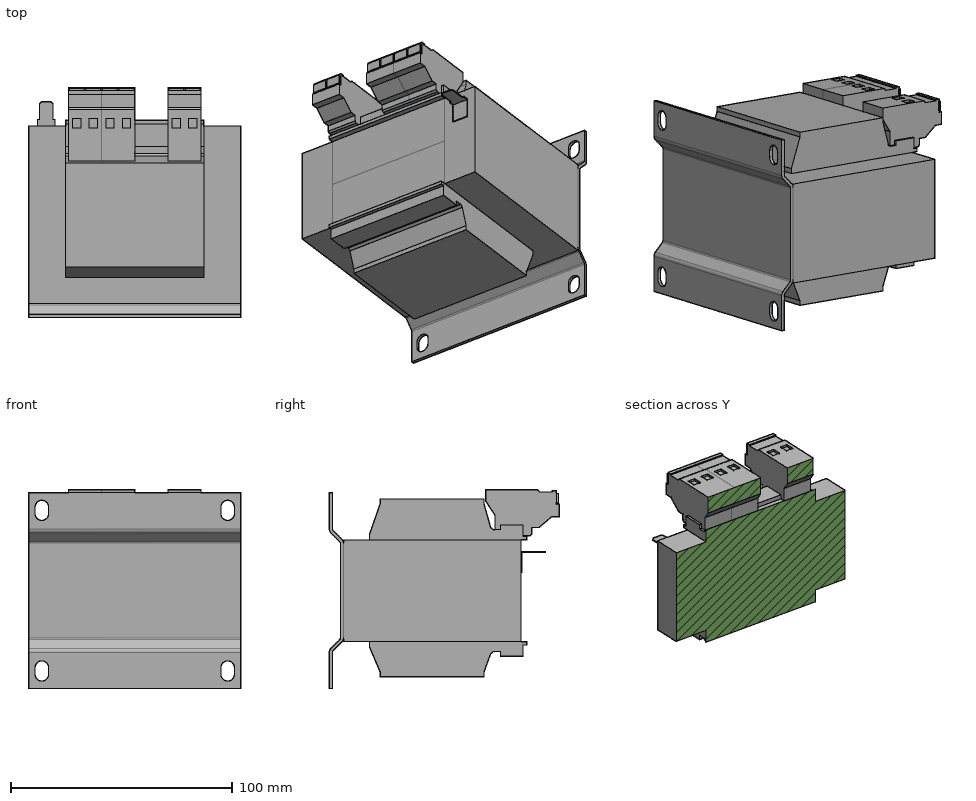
import cadquery as cq


CORE_WIDTH = 96.0
CORE_HEIGHT = 46.0
CORE_FRONT_Y = 6.5
CORE_BACK_Y = 86.7
CORE_TOP = CORE_HEIGHT / 2

SHEET = 1.5
BRACKET_HEIGHT = 88.6
BRACKET_STEP = CORE_FRONT_Y - SHEET
FLANGE_BEND_Z = 26.85
WEB_BEND_Z = FLANGE_BEND_Z - BRACKET_STEP
TAN_HALF_BEND = 2 ** 0.5 - 1
BEND_SHIFT = SHEET * TAN_HALF_BEND
INNER_BEND_RADIUS = 1.0
OUTER_BEND_RADIUS = INNER_BEND_RADIUS + SHEET
SLOT_WIDTH = 6.0
SLOT_LENGTH = 9.0
SLOT_EDGE_X = 6.0
SLOT_EDGE_Z = 8.0

BOBBIN_WIDTH = 62.4
COVER_TOP = 41.5
COVER_BOTTOM = 39.0
COVER_RIM = 2.2
COVER_FRONT_Y = 23.0
COVER_BACK_Y = 70.0
SKIRT_FRONT_Y = 18.1
SKIRT_TOP_Z = 25.3
GROOVE_Z = 27.6
GROOVE_FRONT_Y = 74.2
GROOVE_BACK_Y = 77.4
COVER_FOOT_Y = 73.0
COVER_FOOT_RISE = 1.0
FOOT_Z = 29.7
FOOT_BACK_Y = 87.6
LIP_BACK_Y = 89.3
LIP_Z = 24.6

BLOCK_WIDTH = 15.0
BLOCK_CENTRES_X = (-22.5, -7.5, 22.5)
BLOCK_TOP = 45.65
BLOCK_FRONT_Y = 70.75
BLOCK_FRONT_Z = 40.4
NECK_FRONT_Y = 74.9
NECK_FRONT_Z = 34.1
RECESS_Z = 44.7
RECESS_FRONT_Y = 95.0
RECESS_BACK_Y = 100.8
RECESS_RAMP = 0.8
BROW_Z = 45.25
WIRING_FACE_Y = 102.7
LEDGE_ROOT_Z = 39.0
LEDGE_CREST_Y = 103.5
LEDGE_CREST_Z = 39.5
LEDGE_EDGE_Z = 39.1
BLOCK_BACK_Y = 104.0
CHIN_Z = 33.3
CHIN_Y = 100.5
HEEL_Z = 28.5
HEEL_Y = 94.8
HOOK_Y = 91.6
HOOK_CHAMFER = 0.8
BLOCK_FOOT_Z = 24.8
PAD_WIDTH = 6.6
PAD_BACK_Y = 103.75
PAD_BOTTOM = 39.8
PAD_TOP = 44.0
WIRE_PITCH = BLOCK_WIDTH / 2
POCKET_WIDTH = 3.7
POCKET_LENGTH = 4.4
POCKET_Y = 87.9
POCKET_DEPTH = 1.0

EARTH_X = -40.0
EARTH_SHEET = 0.5
EARTH_WIDTH = 8.0
EARTH_TOP = 17.7
EARTH_BOTTOM = 8.3
EARTH_SHOULDER_Y = 89.7
TAB_WIDTH = 6.3
TAB_BACK_Y = 97.7
TAB_CHAMFER = 1.0


def box(x_range, y_range, z_range):
    """Box between two limits on each axis."""
    (x0, x1), (y0, y1), (z0, z1) = x_range, y_range, z_range
    return cq.Workplane("XY").box(x1 - x0, y1 - y0, z1 - z0, centered=False).translate((x0, y0, z0))


def extrude_along_x(outline, width, centre_x=0.0):
    """Extrude a closed (Y, Z) outline along X, centred on centre_x."""
    start = centre_x - width / 2
    return cq.Workplane("YZ").workplane(offset=start).polyline(outline).close().extrude(width)


def mirrored(points):
    """The same (Y, Z) points below Z = 0, in reverse order."""
    return [(y, -z) for y, z in reversed(points)]


def make_core():
    half = CORE_WIDTH / 2
    return box((-half, half), (CORE_FRONT_Y, CORE_BACK_Y), (-CORE_TOP, CORE_TOP))


def make_bracket():
    """Flat web with a 45 degree step to a mounting flange at the top and bottom."""
    front_bends = [(BRACKET_STEP, WEB_BEND_Z), (0, FLANGE_BEND_Z)]
    back_bends = [(SHEET, FLANGE_BEND_Z + BEND_SHIFT), (CORE_FRONT_Y, WEB_BEND_Z + BEND_SHIFT)]
    end = BRACKET_HEIGHT / 2
    upper_half = front_bends + [(0, end), (SHEET, end)] + back_bends
    bracket = extrude_along_x(upper_half + mirrored(upper_half), CORE_WIDTH)

    concave_bends = [front_bends[0], back_bends[0]]
    convex_bends = [front_bends[1], back_bends[1]]
    for bends, radius in ((concave_bends, INNER_BEND_RADIUS), (convex_bends, OUTER_BEND_RADIUS)):
        for y, z in bends + mirrored(bends):
            bend_edge = cq.selectors.NearestToPointSelector((0, y, z))
            bracket = bracket.edges(bend_edge).fillet(radius)

    slots = (
        cq.Workplane("XZ")
        .rect(CORE_WIDTH - 2 * SLOT_EDGE_X, BRACKET_HEIGHT - 2 * SLOT_EDGE_Z, forConstruction=True)
        .vertices()
        .slot2D(SLOT_LENGTH, SLOT_WIDTH, 90)
        .extrude(-SHEET)
    )
    return bracket.cut(slots)


def make_bobbin_half(cover_z, side):
    """Winding cover, groove, foot and lip on one side of the core; side is 1 for up, -1 for down."""
    outline = [
        (SKIRT_FRONT_Y, 0),
        (SKIRT_FRONT_Y, SKIRT_TOP_Z),
        (COVER_FRONT_Y, cover_z - COVER_RIM),
        (COVER_FRONT_Y, cover_z),
        (COVER_BACK_Y, cover_z),
        (COVER_BACK_Y, cover_z - COVER_RIM),
        (COVER_FOOT_Y, GROOVE_Z + COVER_FOOT_RISE),
        (GROOVE_FRONT_Y, GROOVE_Z),
        (GROOVE_BACK_Y, GROOVE_Z),
        (GROOVE_BACK_Y, FOOT_Z),
        (FOOT_BACK_Y, FOOT_Z),
        (FOOT_BACK_Y, LIP_Z),
        (LIP_BACK_Y, LIP_Z),
        (LIP_BACK_Y, CORE_TOP),
        (CORE_BACK_Y, CORE_TOP),
        (CORE_BACK_Y, 0),
    ]
    return extrude_along_x([(y, side * z) for y, z in outline], BOBBIN_WIDTH)


def make_terminal_block(centre_x):
    """Two-way block: each way has a raised pad on the wiring face and a pocket in the top."""
    outline = [
        (NECK_FRONT_Y, BLOCK_FOOT_Z),
        (NECK_FRONT_Y, NECK_FRONT_Z),
        (BLOCK_FRONT_Y, BLOCK_FRONT_Z),
        (BLOCK_FRONT_Y, BLOCK_TOP),
        (RECESS_FRONT_Y - RECESS_RAMP, BLOCK_TOP),
        (RECESS_FRONT_Y, RECESS_Z),
        (RECESS_BACK_Y, RECESS_Z),
        (RECESS_BACK_Y, BROW_Z),
        (WIRING_FACE_Y, BROW_Z),
        (WIRING_FACE_Y, LEDGE_ROOT_Z),
        (LEDGE_CREST_Y, LEDGE_CREST_Z),
        (BLOCK_BACK_Y, LEDGE_EDGE_Z),
        (BLOCK_BACK_Y, CHIN_Z),
        (CHIN_Y, CHIN_Z),
        (HEEL_Y, HEEL_Z),
        (HOOK_Y, HEEL_Z),
        (HOOK_Y, BLOCK_FOOT_Z + HOOK_CHAMFER),
        (HOOK_Y - HOOK_CHAMFER, BLOCK_FOOT_Z),
    ]
    block = extrude_along_x(outline, BLOCK_WIDTH, centre_x)
    for wire_x in (centre_x - WIRE_PITCH / 2, centre_x + WIRE_PITCH / 2):
        pad = box(
            (wire_x - PAD_WIDTH / 2, wire_x + PAD_WIDTH / 2),
            (WIRING_FACE_Y, PAD_BACK_Y),
            (PAD_BOTTOM, PAD_TOP),
        )
        pocket = box(
            (wire_x - POCKET_WIDTH / 2, wire_x + POCKET_WIDTH / 2),
            (POCKET_Y - POCKET_LENGTH / 2, POCKET_Y + POCKET_LENGTH / 2),
            (BLOCK_TOP - POCKET_DEPTH, BLOCK_TOP),
        )
        block = block.union(pad).cut(pocket)
    return block


def make_earth_terminal():
    """Vertical leg on the core with a shouldered, chamfered tab standing out from its top."""
    leg_x = (EARTH_X - EARTH_WIDTH / 2, EARTH_X + EARTH_WIDTH / 2)
    tab_x = (EARTH_X - TAB_WIDTH / 2, EARTH_X + TAB_WIDTH / 2)
    tab_z = (EARTH_TOP - EARTH_SHEET, EARTH_TOP)
    leg = box(leg_x, (CORE_BACK_Y, CORE_BACK_Y + EARTH_SHEET), (EARTH_BOTTOM, EARTH_TOP))
    shoulder = box(leg_x, (CORE_BACK_Y, EARTH_SHOULDER_Y), tab_z)
    tab = box(tab_x, (CORE_BACK_Y, TAB_BACK_Y), tab_z).edges("|Z and >Y").chamfer(TAB_CHAMFER)
    return leg.union(shoulder).union(tab)


components = [
    make_bracket(),
    make_bobbin_half(COVER_TOP, 1),
    make_bobbin_half(COVER_BOTTOM, -1),
    *[make_terminal_block(block_x) for block_x in BLOCK_CENTRES_X],
    make_earth_terminal(),
]

result = make_core()
for component in components:
    result = result.union(component, clean=False)